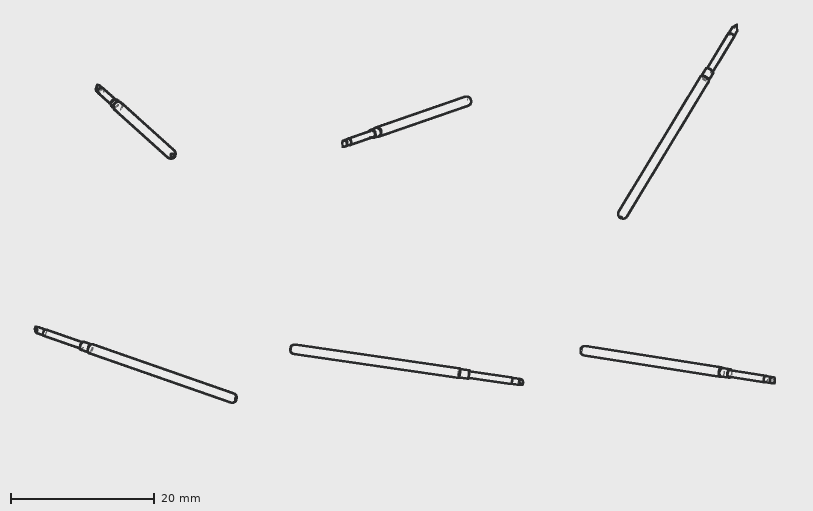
import cadquery as cq

overall_length = 33.28
barrel_diameter = 1.37
collar_diameter = 1.22
plunger_diameter = 0.96
head_diameter = 0.88
head_length = 1.65
plunger_length = 7.83
collar_length = 1.3
barrel_chamfer_length = 0.12
dome_length = 0.6
dome_flat_diameter = 0.5

side_slope = 1.7
ridge_slope = 0.25
head_front_x = 0.68

barrel_radius = barrel_diameter / 2
collar_radius = collar_diameter / 2
plunger_radius = plunger_diameter / 2
head_radius = head_diameter / 2
dome_flat_radius = dome_flat_diameter / 2

tip_x = -overall_length / 2
rear_x = overall_length / 2
head_full_x = tip_x + head_front_x
head_end_x = tip_x + head_length
collar_x = tip_x + plunger_length
collar_end_x = collar_x + collar_length
barrel_x = collar_end_x + barrel_chamfer_length
dome_x = rear_x - dome_length


def make_body():
    """Plunger, collar and domed barrel as one turned shape."""
    half_profile = (
        cq.Workplane("XZ")
        .moveTo(head_end_x, 0)
        .lineTo(head_end_x, plunger_radius)
        .lineTo(collar_x, plunger_radius)
        .lineTo(collar_x, collar_radius)
        .lineTo(collar_end_x, collar_radius)
        .lineTo(barrel_x, barrel_radius)
        .lineTo(dome_x, barrel_radius)
        .tangentArcPoint((rear_x, dome_flat_radius), relative=False)
        .lineTo(rear_x, 0)
        .close()
    )
    return half_profile.revolve(360, (0, 0, 0), (1, 0, 0))


def make_pyramid():
    """Pyramid with its apex at the tip, reaching back past the end of the head."""
    pyramid_length = 2 * head_length
    base_x = tip_x + pyramid_length
    half_width = pyramid_length / side_slope
    half_height = pyramid_length / ridge_slope
    base_corners = [
        cq.Vector(base_x, half_width, 0),
        cq.Vector(base_x, 0, half_height),
        cq.Vector(base_x, -half_width, 0),
        cq.Vector(base_x, 0, -half_height),
    ]
    apex = cq.Vector(tip_x, 0, 0)
    faces = [cq.Face.makeFromWires(cq.Wire.makePolygon(base_corners, close=True))]
    for corner, next_corner in zip(base_corners, base_corners[1:] + base_corners[:1]):
        facet = cq.Wire.makePolygon([apex, corner, next_corner], close=True)
        faces.append(cq.Face.makeFromWires(facet))
    return cq.Workplane(cq.Solid.makeSolid(cq.Shell.makeShell(faces)))


def make_shoulder_cone():
    """45 degree cone that bevels the head beside the pyramid."""
    apex_x = head_full_x - head_radius
    cone = (
        cq.Workplane("XZ")
        .moveTo(apex_x, 0)
        .lineTo(apex_x + head_length, 0)
        .lineTo(apex_x + head_length, head_length)
        .close()
    )
    return cone.revolve(360, (0, 0, 0), (1, 0, 0))


def make_head():
    """Round head shaped by the pyramid and the cone, whichever stands further forward."""
    rod = cq.Workplane("YZ", origin=(tip_x, 0, 0)).circle(head_radius).extrude(head_length)
    return rod.intersect(make_pyramid().union(make_shoulder_cone()))


result = make_body().union(make_head())